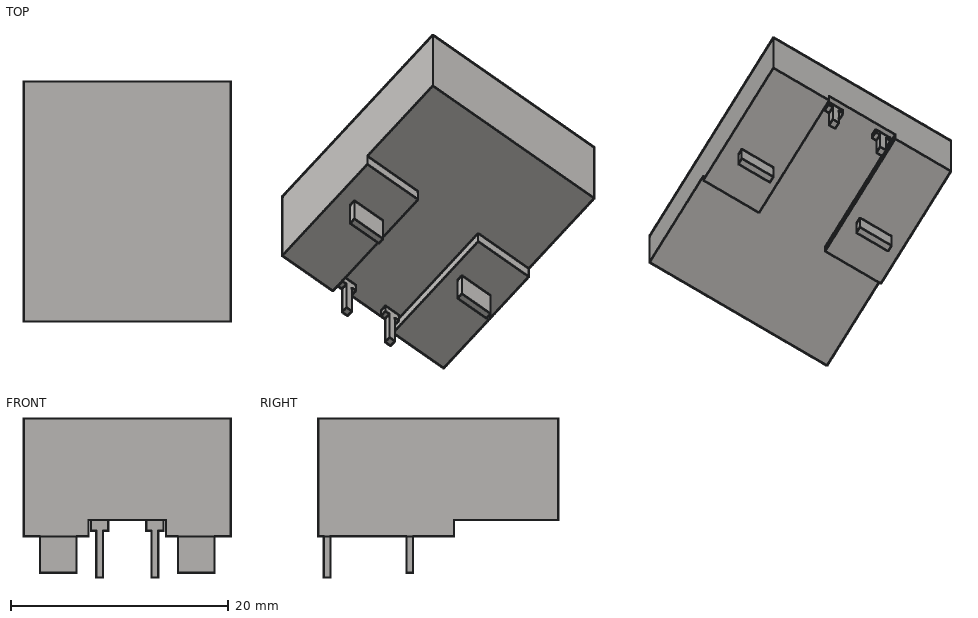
import cadquery as cq

BODY_WIDTH = 19.08
BODY_LENGTH = 22.1
BODY_HEIGHT = 10.85
FRONT_Y = -BODY_LENGTH / 2
REAR_Y = BODY_LENGTH / 2

RAIL_HEIGHT = 1.5
RAIL_LENGTH = 12.5
CHANNEL_WIDTH = 7.1

BLADE_SPACING = 12.7
BLADE_WIDTH = 3.4
BLADE_THICKNESS = 0.62
BLADE_LENGTH = 3.35
BLADE_SETBACK = 8.43
BLADE_Y = FRONT_Y + BLADE_SETBACK

PIN_SPACING = 5.08
PIN_SIZE = 0.65
PIN_DROP = 3.8
PIN_SETBACK = 0.825
PIN_Y = FRONT_Y + PIN_SETBACK
SHOULDER_WIDTH = 1.6
SHOULDER_HEIGHT = 1.0


def block(width, length, bottom, top, x=0, y=0):
    """Upright box centred at (x, y) and reaching from bottom to top in Z."""
    return (
        cq.Workplane("XY", origin=(x, y, bottom))
        .rect(width, length)
        .extrude(top - bottom)
    )


def make_housing():
    """Extrude the stepped side outline across X, then cut the channel between the rails."""
    step_y = FRONT_Y + RAIL_LENGTH
    housing = (
        cq.Workplane("YZ")
        .moveTo(FRONT_Y, 0)
        .lineTo(step_y, 0)
        .lineTo(step_y, RAIL_HEIGHT)
        .lineTo(REAR_Y, RAIL_HEIGHT)
        .lineTo(REAR_Y, BODY_HEIGHT)
        .lineTo(FRONT_Y, BODY_HEIGHT)
        .close()
        .extrude(BODY_WIDTH / 2, both=True)
    )
    return housing.cut(block(CHANNEL_WIDTH, BODY_LENGTH, 0, RAIL_HEIGHT))


def make_blade(x):
    """Flat blade hanging from the foot of a rail."""
    return block(BLADE_WIDTH, BLADE_THICKNESS, -BLADE_LENGTH, 0, x, BLADE_Y)


def make_pin(x):
    """Pin hanging from the channel roof, with a shoulder as thick as the pin."""
    shank = block(PIN_SIZE, PIN_SIZE, -PIN_DROP, RAIL_HEIGHT, x, PIN_Y)
    shoulder_bottom = RAIL_HEIGHT - SHOULDER_HEIGHT
    shoulder = block(SHOULDER_WIDTH, PIN_SIZE, shoulder_bottom, RAIL_HEIGHT, x, PIN_Y)
    return shank.union(shoulder)


result = make_housing()
for side in (-1, 1):
    result = result.union(make_blade(side * BLADE_SPACING / 2))
    result = result.union(make_pin(side * PIN_SPACING / 2))